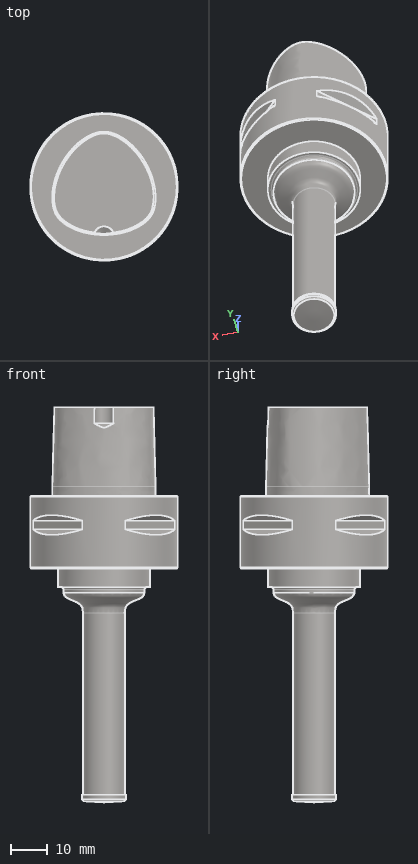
import cadquery as cq
import math


lobe_mean_radius = 14.0
lobe_rise = 1.0
taper_top_z = 24.0
taper_start_z = 2.6
taper_inset = (taper_top_z - taper_start_z) / 40

notch_radius = 2.8
notch_axis_y = -13.5
notch_shoulder_z = 19.6
notch_cone_depth = notch_radius / math.tan(math.radians(60))

flange_radius = 40.0 / 2
flange_height = 19.7
flange_chamfer = 0.3
groove_z = -7.9
groove_floor_distance = 17.7
groove_floor_height = 2.4
groove_mouth_height = 5.4
groove_count = 4

neck_radius = 25.0 / 2
neck_bottom_z = -24.7
collar_radius = 22.0 / 2
collar_fillet = 0.6
collar_bottom_z = -26.2
shank_radius = 11.5 / 2
bell_middle_radius = 10.3
bell_middle_z = -27.5
bell_end_radius = 8.8
bell_end_z = -28.2
flare_middle_radius = 6.6
flare_middle_z = -29.3
flare_end_z = -31.7

total_height = 107
tip_bottom_z = taper_top_z - total_height
tip_radius = 6.0
tip_height = 2.1
tip_chamfer = 0.5
tip_cone_height = 0.3
tip_top_z = tip_bottom_z + tip_height
tip_rim_z = tip_bottom_z + tip_cone_height


def lobed_outline(z, inset):
    """Closed three-lobed curve, moved inward by a constant distance, with one lobe toward +Y."""

    def point(t):
        angle = 2 * math.pi * t
        lobe_angle = 3 * (angle - math.pi / 2)
        reach = lobe_mean_radius - inset + lobe_rise * math.cos(lobe_angle)
        slope = -3 * lobe_rise * math.sin(lobe_angle)
        return (
            reach * math.cos(angle) - slope * math.sin(angle),
            reach * math.sin(angle) + slope * math.cos(angle),
        )

    return cq.Workplane("XY", origin=(0, 0, z)).parametricCurve(point, N=72)


def make_taper():
    base = lobed_outline(0, 0).extrude(taper_start_z)
    lower = lobed_outline(taper_start_z, 0).val()
    upper = lobed_outline(taper_top_z, taper_inset).val()
    return base.union(cq.Workplane(cq.Solid.makeLoft([lower, upper], True)))


def make_notch():
    """Vertical drilled pocket with a conical bottom."""
    profile = (
        cq.Workplane("XZ")
        .moveTo(0, taper_top_z)
        .lineTo(notch_radius, taper_top_z)
        .lineTo(notch_radius, notch_shoulder_z)
        .lineTo(0, notch_shoulder_z - notch_cone_depth)
        .close()
    )
    return profile.revolve(360, (0, 0), (0, 1)).translate((0, notch_axis_y, 0))


def make_groove(angle):
    """Straight groove with sloping walls, cut across the flange rim."""
    floor_half = groove_floor_height / 2
    mouth_half = groove_mouth_height / 2
    length = 2 * flange_radius
    groove = (
        cq.Workplane("XZ", origin=(0, length / 2, 0))
        .moveTo(groove_floor_distance, groove_z - floor_half)
        .lineTo(flange_radius, groove_z - mouth_half)
        .lineTo(flange_radius, groove_z + mouth_half)
        .lineTo(groove_floor_distance, groove_z + floor_half)
        .close()
        .extrude(length)
    )
    return groove.rotate((0, 0, 0), (0, 0, 1), angle)


def make_flange():
    flange = cq.Workplane("XY").circle(flange_radius).extrude(-flange_height)
    flange = flange.edges().chamfer(flange_chamfer)
    for index in range(groove_count):
        flange = flange.cut(make_groove(360 / groove_count * (index + 0.5)))
    return flange


def make_stem():
    """Neck, filleted collar, bell and shank turned about Z."""
    fillet_middle = collar_fillet * (1 - math.sqrt(0.5))
    profile = (
        cq.Workplane("XZ")
        .moveTo(0, -flange_height)
        .lineTo(neck_radius, -flange_height)
        .lineTo(neck_radius, neck_bottom_z)
        .lineTo(collar_radius + collar_fillet, neck_bottom_z)
        .threePointArc(
            (collar_radius + fillet_middle, neck_bottom_z - fillet_middle),
            (collar_radius, neck_bottom_z - collar_fillet),
        )
        .lineTo(collar_radius, collar_bottom_z)
        .spline(
            [
                (bell_middle_radius, bell_middle_z),
                (bell_end_radius, bell_end_z),
                (flare_middle_radius, flare_middle_z),
                (shank_radius, flare_end_z),
            ],
            includeCurrent=True,
        )
        .lineTo(shank_radius, tip_top_z)
        .lineTo(0, tip_top_z)
        .close()
    )
    return profile.revolve(360, (0, 0), (0, 1))


def make_holder():
    taper = make_taper().cut(make_notch())
    return taper.union(make_flange()).union(make_stem())


def make_tip():
    """Short cutting tip with a chamfered rim and a shallow conical end."""
    profile = (
        cq.Workplane("XZ")
        .moveTo(0, tip_top_z)
        .lineTo(tip_radius, tip_top_z)
        .lineTo(tip_radius, tip_rim_z + tip_chamfer)
        .lineTo(tip_radius - tip_chamfer, tip_rim_z)
        .lineTo(0, tip_bottom_z)
        .close()
    )
    return profile.revolve(360, (0, 0), (0, 1))


holder = make_holder()
tip = make_tip()
result = cq.Compound.makeCompound([holder.solids().val(), tip.val()])